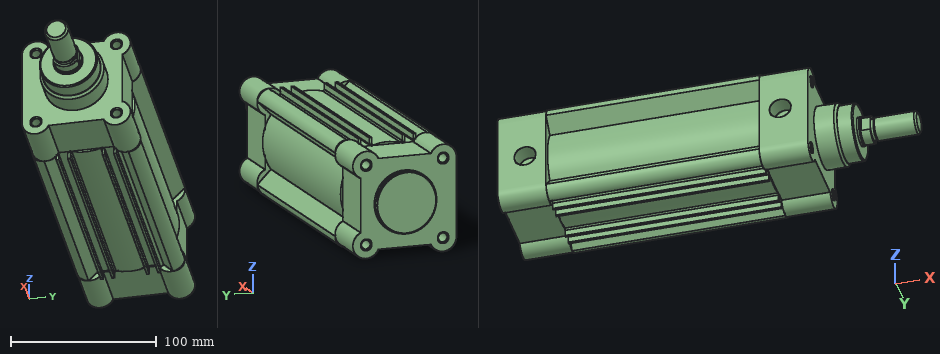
import cadquery as cq
import math


total_length = 294.0
width = 76.0
half = width / 2

rear_boss_length = 3.8
cap_length = 34.7
barrel_length = 152.0
front_boss_length = 16.0
nose_length = 11.2

recess_height = 32.3
boss_radius = 22.3
rear_boss_chamfer = 1.0
front_boss_chamfer = 1.8
nose_radius = 20.3
nose_chamfer = 1.0

bolt_spacing = 56.5
bolt_radius = 3.2
bolt_depth = 14.7
bolt_chamfer = 1.0
port_radius = 7.5
port_depth = 13.2
port_height = 2.4
port_inset = 19.7

tube_radius = 34.0
corner_radius = 8.5
corner_depth = 13.2
rail_offset = 16.2
slot_width = 6.2
rail_wall = 1.8
rail_height = 4.5
rail_flare = 2.4
rail_root = 25.0

rod_radius = 10.3
rod_shoulder_length = 1.5
shoulder_taper = 1.0
shank_radius = 9.7
shank_length = 6.8
flat_distance = 8.2
flat_length = 6.2
relief_outer_radius = 8.0
relief_radius = 7.0
relief_length = 1.8
relief_taper = 1.2
thread_radius = 8.2
thread_chamfer = 1.5

rear_cap_x = rear_boss_length
barrel_x = rear_cap_x + cap_length
front_cap_x = barrel_x + barrel_length
front_face_x = front_cap_x + cap_length
nose_x = front_face_x + front_boss_length
nose_end_x = nose_x + nose_length
lobe_center = bolt_spacing / 2
lobe_radius = half - lobe_center
lobe_centers = [(y * lobe_center, z * lobe_center) for y in (-1, 1) for z in (-1, 1)]


def section_plane(x):
    """Plane across the cylinder at x, with local axes Y and Z."""
    return cq.Workplane("YZ", origin=(x, 0, 0))


def cap_block(x):
    """Cap with a round lobe at each corner, recessed on top, bottom and +Y; -Y is flat."""
    core = section_plane(x).rect(2 * recess_height, 2 * recess_height).extrude(cap_length)
    lobes = section_plane(x).pushPoints(lobe_centers).circle(lobe_radius).extrude(cap_length)
    port_pad = (
        section_plane(x)
        .center(-half / 2, 0)
        .rect(half, 2 * lobe_center)
        .extrude(cap_length)
    )
    return core.union(lobes).union(port_pad)


def bolt_holes(face_x, inward):
    """Blind chamfered holes from a cap's outer face; inward is +1 or -1 along X."""
    mouth_radius = bolt_radius + bolt_chamfer
    profile = [
        (face_x, 0),
        (face_x, mouth_radius),
        (face_x + inward * bolt_chamfer, bolt_radius),
        (face_x + inward * bolt_depth, bolt_radius),
        (face_x + inward * bolt_depth, 0),
    ]
    hole = cq.Workplane("XY").polyline(profile).close().revolve(360, (0, 0), (1, 0))
    holes = cq.Workplane("XY")
    for y, z in lobe_centers:
        holes = holes.add(hole.translate((0, y, z)))
    return holes.combine()


def air_port(x, z):
    """Blind round port entering from the flat -Y face."""
    return cq.Workplane("XZ", origin=(x, -half, z)).circle(port_radius).extrude(-port_depth)


def make_rear_cap():
    boss = section_plane(0).circle(boss_radius).extrude(rear_boss_length)
    boss = boss.faces("<X").chamfer(rear_boss_chamfer)
    cap = cap_block(rear_cap_x).union(boss)
    cap = cap.cut(bolt_holes(rear_cap_x, 1))
    return cap.cut(air_port(rear_cap_x + port_inset, -port_height))


def make_front_cap():
    boss = section_plane(front_face_x).circle(boss_radius).extrude(front_boss_length)
    boss = boss.faces(">X").chamfer(front_boss_chamfer)
    nose = section_plane(nose_x).circle(nose_radius).extrude(nose_length)
    nose = nose.faces(">X").chamfer(nose_chamfer)
    cap = cap_block(front_cap_x).union(boss).union(nose)
    cap = cap.cut(bolt_holes(front_face_x, -1))
    cap = cap.cut(air_port(front_face_x - port_inset, port_height))
    rod_bore = section_plane(front_cap_x).circle(rod_radius).extrude(nose_end_x - front_cap_x)
    return cap.cut(rod_bore)


def barrel_corner():
    """Rounded corner rib at +Y +Z with 45 degree flanks running in to the tube."""
    tangent = half - corner_radius
    arc_middle = tangent + corner_radius * math.cos(math.radians(45))
    return (
        section_plane(barrel_x)
        .moveTo(tangent - corner_depth, half - corner_depth)
        .lineTo(tangent, half)
        .threePointArc((arc_middle, arc_middle), (half, tangent))
        .lineTo(half - corner_depth, tangent - corner_depth)
        .close()
        .extrude(barrel_length)
    )


def flared_channel(half_width, bottom):
    """Bar at the +Y +Z slot position: straight at the top, flaring at 45 degrees below."""
    flare_top = half - rail_height
    flare_bottom = flare_top - rail_flare
    right_side = [
        (half_width, half),
        (half_width, flare_top),
        (half_width + rail_flare, flare_bottom),
        (half_width + rail_flare, bottom),
    ]
    left_side = [(-y, z) for y, z in reversed(right_side)]
    outline = [(rail_offset + y, z) for y, z in right_side + left_side]
    outline = list(dict.fromkeys(outline))
    return section_plane(barrel_x).polyline(outline).close().extrude(barrel_length)


def four_ways(shape):
    """The shape with its mirror images in Y and Z."""
    upper = shape.union(shape.mirror("XZ"))
    return upper.union(upper.mirror("XY"))


def make_barrel():
    slot_floor = half - rail_height - rail_flare
    rail = flared_channel(slot_width / 2 + rail_wall, rail_root)
    slot = flared_channel(slot_width / 2, slot_floor)
    tube = section_plane(barrel_x).circle(tube_radius).extrude(barrel_length)
    return tube.union(four_ways(barrel_corner())).union(four_ways(rail)).cut(four_ways(slot))


def make_rod():
    shoulder_x = nose_end_x + rod_shoulder_length
    shank_x = shoulder_x + shoulder_taper
    shank_end_x = shank_x + shank_length
    relief_x = shank_end_x + relief_length
    thread_x = relief_x + relief_taper
    profile = [
        (front_cap_x, 0),
        (front_cap_x, rod_radius),
        (shoulder_x, rod_radius),
        (shank_x, shank_radius),
        (shank_end_x, shank_radius),
        (shank_end_x, relief_outer_radius),
        (relief_x, relief_radius),
        (thread_x, thread_radius),
        (total_length - thread_chamfer, thread_radius),
        (total_length, thread_radius - thread_chamfer),
        (total_length, 0),
    ]
    rod = cq.Workplane("XY").polyline(profile).close().revolve(360, (0, 0), (1, 0))
    flat_cutter = cq.Workplane("XY").box(flat_length, rod_radius, 2 * rod_radius)
    for side in (-1, 1):
        cutter_y = side * (flat_distance + rod_radius / 2)
        rod = rod.cut(flat_cutter.translate((shank_end_x - flat_length / 2, cutter_y, 0)))
    return rod


rear_cap = make_rear_cap()
barrel = make_barrel()
front_cap = make_front_cap()
rod = make_rod()

result = cq.Compound.makeCompound([body.solids().val() for body in (rear_cap, barrel, front_cap, rod)])